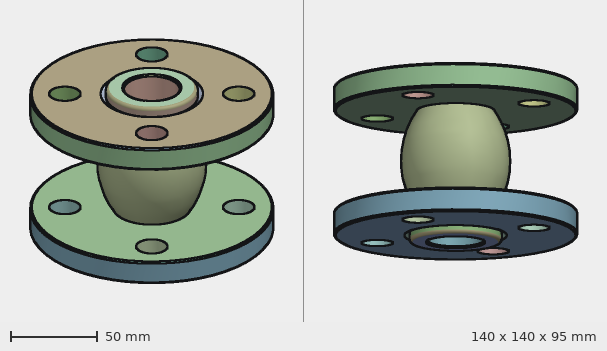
import cadquery as cq
import math

total_height = 95.0
half_height = total_height / 2

flange_diameter = 140.0
flange_thickness = 14.0
flange_edge_chamfer = 1.0
flange_gap = 59.1
flange_inner_z = flange_gap / 2
flange_outer_z = flange_inner_z + flange_thickness

bolt_hole_diameter = 18.0
bolt_circle_diameter = 100.0
bolt_count = 4
first_bolt_angle = 45

collar_diameter = 53.0
collar_fillet = 2.0
countersink_diameter = 59.0
countersink_slope = 30
countersink_width = (countersink_diameter - collar_diameter) / 2
countersink_depth = countersink_width * math.tan(math.radians(countersink_slope))

body_middle_radius = 31.5
body_end_radius = 22.4

bore_diameter = 32.0
bore_chamfer = 1.0


def make_body():
    """Barrel with an arc profile, turned about the Z axis."""
    profile = (
        cq.Workplane("XZ")
        .moveTo(0, -flange_inner_z)
        .lineTo(body_end_radius, -flange_inner_z)
        .threePointArc((body_middle_radius, 0), (body_end_radius, flange_inner_z))
        .lineTo(0, flange_inner_z)
        .close()
    )
    return profile.revolve(360, (0, 0, 0), (0, 1, 0))


def make_upper_flange():
    """Chamfered disc with bolt holes and a countersunk ring around its raised collar."""
    disc = (
        cq.Workplane("XY", origin=(0, 0, flange_inner_z))
        .circle(flange_diameter / 2)
        .extrude(flange_thickness)
        .edges()
        .chamfer(flange_edge_chamfer)
    )
    bolt_holes = (
        cq.Workplane("XY", origin=(0, 0, flange_inner_z))
        .polarArray(bolt_circle_diameter / 2, first_bolt_angle, 360, bolt_count)
        .circle(bolt_hole_diameter / 2)
        .extrude(flange_thickness)
    )
    countersink = cq.Workplane(
        cq.Solid.makeCone(
            collar_diameter / 2,
            countersink_diameter / 2,
            countersink_depth,
            pnt=cq.Vector(0, 0, flange_outer_z - countersink_depth),
        )
    )
    collar = (
        cq.Workplane("XY", origin=(0, 0, flange_inner_z))
        .circle(collar_diameter / 2)
        .extrude(half_height - flange_inner_z)
        .faces(">Z")
        .edges()
        .fillet(collar_fillet)
    )
    return disc.cut(bolt_holes).cut(countersink).union(collar)


def cut_bore(part):
    """Straight bore along Z, chamfered at both mouths."""
    bore = cq.Workplane("XY").circle(bore_diameter / 2).extrude(half_height, both=True)
    mouth_edges = part.cut(bore).faces("<Z or >Z").edges(cq.selectors.RadiusNthSelector(0))
    return mouth_edges.chamfer(bore_chamfer)


upper_flange = make_upper_flange()
lower_flange = upper_flange.mirror("XY")
solid_part = make_body().union(upper_flange).union(lower_flange)
result = cut_bore(solid_part)